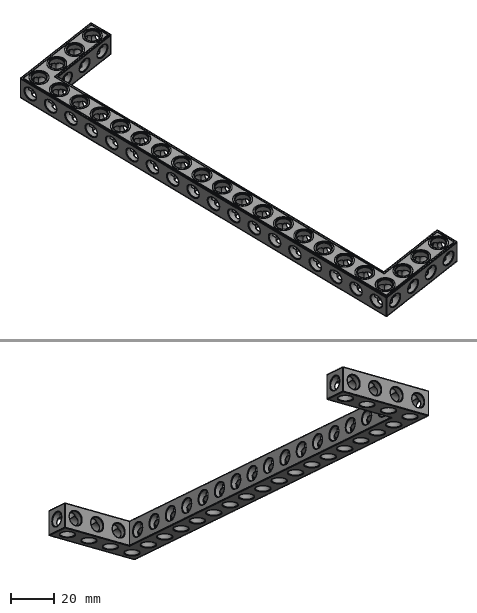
import cadquery as cq

unit = 12.5
base_units = 18
leg_units = 4
hole_diameter = 7.0
chamfer = 0.3
rim_width = 1.1
recess_depth = 0.2

length = base_units * unit
depth = leg_units * unit
hole_radius = hole_diameter / 2
rim_radius = hole_radius + rim_width
last_column = base_units - 1
tolerance = 0.01


def grid_position(index):
    """Centre of a grid cell, measured from the outer corner."""
    return (index + 0.5) * unit


def cell_centres():
    """Every grid cell that the base bar and the two legs cover."""
    base = [(grid_position(column), grid_position(0)) for column in range(base_units)]
    legs = [
        (grid_position(column), grid_position(row))
        for column in (0, last_column)
        for row in range(1, leg_units)
    ]
    return base + legs


def make_outline():
    """Closed U-shaped outline in the XY plane."""
    return (
        cq.Workplane("XY")
        .polyline(
            [
                (0, 0),
                (length, 0),
                (length, depth),
                (length - unit, depth),
                (length - unit, unit),
                (unit, unit),
                (unit, depth),
                (0, depth),
            ]
        )
        .close()
    )


def is_inside_corner(edge):
    """True for the two vertical edges where the legs meet the base bar."""
    centre = edge.Center()
    return abs(centre.y - unit) < tolerance and abs(centre.z - unit / 2) < tolerance


def make_body():
    """U-shaped beam, chamfered everywhere but in its two inside corners."""
    body = make_outline().extrude(unit)
    convex_edges = [edge for edge in body.edges().vals() if not is_inside_corner(edge)]
    return body.newObject(convex_edges).chamfer(chamfer)


def make_top_recess():
    """Cutter for the top recess, leaving the outline and hole rims standing."""
    floor = unit - recess_depth
    recess = make_outline().offset2D(-rim_width, "intersection").extrude(recess_depth)
    rims = cq.Workplane("XY").pushPoints(cell_centres()).circle(rim_radius).extrude(recess_depth)
    return recess.cut(rims).translate((0, 0, floor))


def make_hole(hole_length):
    """Cutter for a through hole along +Z from the origin, chamfered at both rims."""
    mouth_radius = hole_radius + chamfer
    profile = [
        (0, 0),
        (mouth_radius, 0),
        (hole_radius, chamfer),
        (hole_radius, hole_length - chamfer),
        (mouth_radius, hole_length),
        (0, hole_length),
    ]
    return cq.Workplane("XZ").polyline(profile).close().revolve(360, (0, 0, 0), (0, 1, 0))


def make_hole_along_x(hole_length, row):
    """Cutter along +X through the middle of a grid row."""
    hole = make_hole(hole_length).rotate((0, 0, 0), (0, 1, 0), 90)
    return hole.translate((0, grid_position(row), unit / 2))


def make_hole_along_y(hole_length, column):
    """Cutter along +Y through the middle of a grid column."""
    hole = make_hole(hole_length).rotate((0, 0, 0), (1, 0, 0), -90)
    return hole.translate((grid_position(column), 0, unit / 2))


def make_holes():
    """Cutters for all the through holes along Z, Y and X."""
    holes = [make_hole(unit).translate((x, y, 0)) for x, y in cell_centres()]
    for column in range(base_units):
        is_leg = column in (0, last_column)
        holes.append(make_hole_along_y(depth if is_leg else unit, column))
    holes.append(make_hole_along_x(length, 0))
    for row in range(1, leg_units):
        leg_hole = make_hole_along_x(unit, row)
        holes.append(leg_hole)
        holes.append(leg_hole.translate((length - unit, 0, 0)))
    return holes


result = make_body().cut(make_top_recess())
for hole in make_holes():
    result = result.cut(hole)